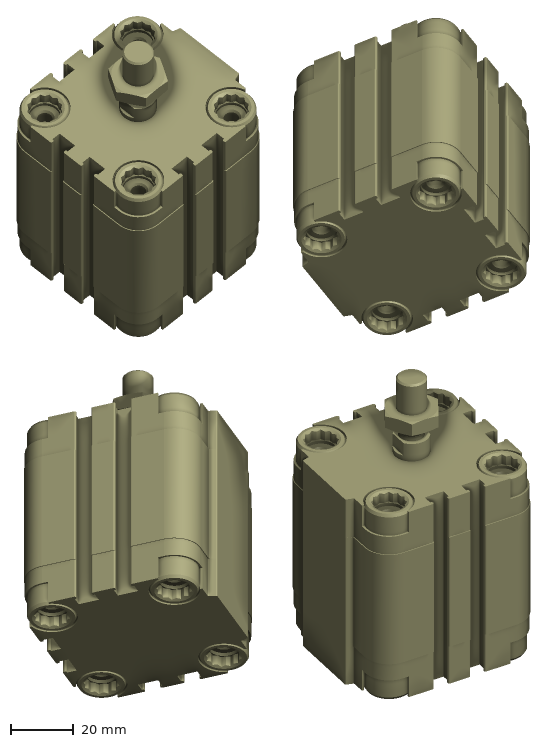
import cadquery as cq
import math

total_height = 99.0
housing_height = 70.6
bottom_cap_height = 14.3
top_cap_height = 14.7

barrel_half_width = 30.0
cap_inset = 0.3
bolt_offset = 21.0
rail_reach = 32.5
rail_top_half_width = 13.2
rail_root_half_width = 14.0
rail_fillet = 0.5

slot_offset = 6.7
slot_width = 6.9
slot_mouth_width = 5.3
slot_floor = 25.1
slot_lip_inside = 28.4
slot_lip_fillet = 0.5

collar_diameter = 16.0
collar_height = 7.9
collar_chamfer_height = 1.0
collar_chamfer_width = 0.6
groove_clearance = 0.2
corner_relief_overlap = 2.2

socket_rim_diameter = 12.8
socket_rim_depth = 0.7
socket_across_flats = 10.0
socket_depth = 4.0
socket_floor_depth = 5.1
bore_diameter = 4.95
bore_mouth_diameter = 6.2

rod_diameter = 12.0
rod_shoulder_rise = 6.6
rod_flat_length = 4.8
rod_across_flats = 10.0
rod_insertion = 9.9
neck_diameter = 8.6
neck_length = 1.8
thread_diameter = 10.0
thread_chamfer = 0.6

nut_across_flats = 17.0
nut_thickness = 5.0
nut_base_height = 82.5
nut_chamfer_height = 0.4

cap_half_width = barrel_half_width - cap_inset
top_cap_base = housing_height - top_cap_height
barrel_height = top_cap_base - bottom_cap_height
collar_radius = collar_diameter / 2
cut_margin = 1.0
bolt_places = [(sx * bolt_offset, sy * bolt_offset) for sx in (-1, 1) for sy in (-1, 1)]


def across_corners(across_flats):
    """Corner-to-corner diameter of a hexagon."""
    return across_flats / math.cos(math.pi / 6)


def plane_at(height):
    """Horizontal workplane at the given height."""
    return cq.Workplane("XY", origin=(0, 0, height))


def spin(profile):
    """Solid of revolution about Z from a closed profile drawn in the XZ plane."""
    return profile.revolve(360, (0, 0, 0), (0, 1, 0))


def cone(top, top_diameter, bottom_diameter, depth):
    """Cone frustum about Z that narrows downward from the top height."""
    lower = plane_at(top - depth).circle(bottom_diameter / 2)
    return lower.workplane(offset=depth).circle(top_diameter / 2).loft()


def t_slot(half_width, base, height):
    """Cutter for one T-slot on the -Y side, with rounded lips, centred on X = 0."""
    wide = slot_width / 2
    mouth = slot_mouth_width / 2
    rounded = mouth + slot_lip_fillet
    outside = half_width + cut_margin
    return (
        plane_at(base)
        .moveTo(-wide, -slot_floor)
        .lineTo(wide, -slot_floor)
        .lineTo(wide, -slot_lip_inside)
        .lineTo(rounded, -slot_lip_inside)
        .radiusArc((mouth, -slot_lip_inside - slot_lip_fillet), -slot_lip_fillet)
        .lineTo(mouth, -half_width + slot_lip_fillet)
        .radiusArc((rounded, -half_width), -slot_lip_fillet)
        .lineTo(rounded, -outside)
        .lineTo(-rounded, -outside)
        .lineTo(-rounded, -half_width)
        .radiusArc((-mouth, -half_width + slot_lip_fillet), -slot_lip_fillet)
        .lineTo(-mouth, -slot_lip_inside - slot_lip_fillet)
        .radiusArc((-rounded, -slot_lip_inside), -slot_lip_fillet)
        .lineTo(-wide, -slot_lip_inside)
        .close()
        .extrude(height)
    )


def housing_section(half_width, base, height):
    """Rounded square with the rail at the rear and T-slots on the other three sides."""
    section = plane_at(base).rect(2 * half_width, 2 * half_width).extrude(height)
    section = section.edges("|Z").fillet(half_width - bolt_offset)
    rail = (
        plane_at(base)
        .moveTo(-rail_root_half_width, 0)
        .lineTo(-rail_root_half_width, half_width)
        .lineTo(-rail_top_half_width, rail_reach)
        .lineTo(rail_top_half_width, rail_reach)
        .lineTo(rail_root_half_width, half_width)
        .lineTo(rail_root_half_width, 0)
        .close()
        .extrude(height)
    )
    rail_corners = cq.selectors.BoxSelector(
        (-rail_root_half_width - cut_margin, half_width - cut_margin, base - cut_margin),
        (rail_root_half_width + cut_margin, rail_reach + cut_margin, base + height + cut_margin),
    )
    section = section.union(rail).edges("|Z").edges(rail_corners).fillet(rail_fillet)
    for side_angle in (-90, 0, 90):
        for side in (-1, 1):
            slot = t_slot(half_width, base, height).translate((side * slot_offset, 0, 0))
            section = section.cut(slot.rotate((0, 0, 0), (0, 0, 1), side_angle))
    return section


def collar_relief():
    """Cutter that frees a collar with its top at Z = 0 and the housing corner toward +X +Y."""
    outer_reach = barrel_half_width - bolt_offset + cut_margin
    size = outer_reach + corner_relief_overlap
    centre = (outer_reach - corner_relief_overlap) / 2
    bottom = plane_at(-collar_height)
    corner = bottom.center(centre, centre).rect(size, size).extrude(collar_height)
    corner = corner.cut(bottom.circle(collar_radius).extrude(collar_height))
    groove = spin(
        cq.Workplane("XZ")
        .moveTo(collar_radius - collar_chamfer_width, 0)
        .lineTo(collar_radius, -collar_chamfer_height)
        .lineTo(collar_radius + groove_clearance, -collar_chamfer_height)
        .lineTo(collar_radius + groove_clearance, 0)
        .close()
    )
    return corner.union(groove)


def bolt_socket():
    """Cutter for a twelve-point socket on the Z axis with its rim at Z = 0."""
    cutter = cone(0, socket_rim_diameter, socket_across_flats, socket_rim_depth)
    hexagon = plane_at(0).polygon(6, across_corners(socket_across_flats)).extrude(-socket_depth)
    for turn in (0, 30):
        cutter = cutter.union(hexagon.rotate((0, 0, 0), (0, 0, 1), turn))
    floor = plane_at(0).circle(socket_across_flats / 2).extrude(-socket_floor_depth)
    bore_mouth_depth = (bore_mouth_diameter - bore_diameter) / 2
    bore_mouth = cone(-socket_floor_depth, bore_mouth_diameter, bore_diameter, bore_mouth_depth)
    return cutter.union(floor).union(bore_mouth)


def build_housing():
    """Barrel with its two end caps, collars and sockets at both ends, and the rod hole."""
    housing = housing_section(barrel_half_width, bottom_cap_height, barrel_height)
    housing = housing.union(housing_section(cap_half_width, 0, bottom_cap_height))
    housing = housing.union(housing_section(cap_half_width, top_cap_base, top_cap_height))
    relief = collar_relief()
    socket = bolt_socket()
    for x, y in bolt_places:
        turn = math.degrees(math.atan2(y, x)) - 45
        end_cut = relief.rotate((0, 0, 0), (0, 0, 1), turn).union(socket)
        housing = housing.cut(end_cut.translate((x, y, housing_height)))
        housing = housing.cut(end_cut.mirror("XY").translate((x, y, 0)))
    bores = plane_at(0).pushPoints(bolt_places).circle(bore_diameter / 2).extrude(housing_height)
    rod_hole = plane_at(housing_height).circle(rod_diameter / 2).extrude(-rod_insertion)
    return housing.cut(bores).cut(rod_hole)


def build_rod():
    """Piston rod with wrench flats, an undercut neck and a plain thread stud."""
    base = housing_height - rod_insertion
    shoulder = housing_height + rod_shoulder_rise
    neck_top = shoulder + neck_length
    rod_radius = rod_diameter / 2
    neck_radius = neck_diameter / 2
    thread_radius = thread_diameter / 2
    rod = spin(
        cq.Workplane("XZ")
        .moveTo(0, base)
        .lineTo(rod_radius, base)
        .lineTo(rod_radius, shoulder)
        .lineTo(neck_radius, shoulder)
        .lineTo(neck_radius, neck_top)
        .lineTo(thread_radius, neck_top + thread_radius - neck_radius)
        .lineTo(thread_radius, total_height - thread_chamfer)
        .lineTo(thread_radius - thread_chamfer, total_height)
        .lineTo(0, total_height)
        .close()
    )
    flat_depth = (rod_diameter - rod_across_flats) / 2
    for side in (-1, 1):
        flat = plane_at(shoulder - rod_flat_length).center(0, side * rod_radius)
        rod = rod.cut(flat.rect(rod_diameter, 2 * flat_depth).extrude(rod_flat_length))
    return rod


def build_nut():
    """Hexagon nut with corners chamfered at both ends, two corners on the Y axis."""
    corner_diameter = across_corners(nut_across_flats)
    flat_radius = nut_across_flats / 2
    corner_radius = corner_diameter / 2
    nut_top = nut_base_height + nut_thickness
    hexagon = plane_at(nut_base_height).polygon(6, corner_diameter).extrude(nut_thickness)
    hexagon = hexagon.rotate((0, 0, 0), (0, 0, 1), 30)
    chamfer_envelope = spin(
        cq.Workplane("XZ")
        .moveTo(0, nut_base_height)
        .lineTo(flat_radius, nut_base_height)
        .lineTo(corner_radius, nut_base_height + nut_chamfer_height)
        .lineTo(corner_radius, nut_top - nut_chamfer_height)
        .lineTo(flat_radius, nut_top)
        .lineTo(0, nut_top)
        .close()
    )
    bore = plane_at(nut_base_height).circle(thread_diameter / 2).extrude(nut_thickness)
    return hexagon.intersect(chamfer_envelope).cut(bore)


housing = build_housing()
rod = build_rod()
nut = build_nut()
result = cq.Compound.makeCompound([housing.val(), rod.val(), nut.val()])